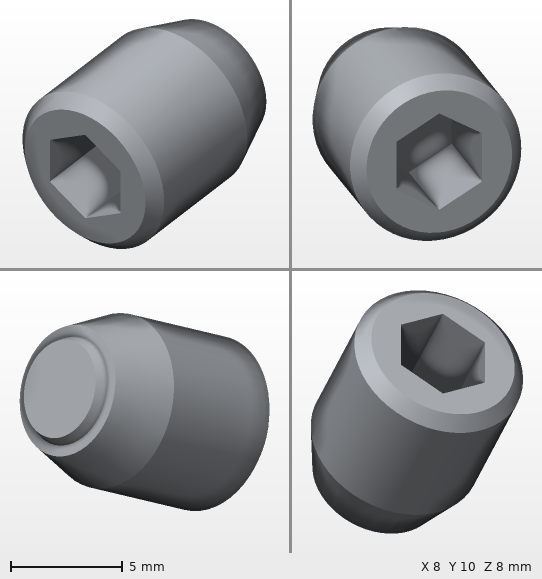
import cadquery as cq
import math

total_length = 10.0
body_diameter = 8.0
drive_chamfer = 0.6

taper_end_diameter = 6.0
taper_angle = 20.0
tip_projection = 0.5

hex_across_flats = 4.0
hex_depth = 5.0

tip_diameter = 5.0
tip_end_diameter = 4.5
tip_seat_depth = 2.0

body_radius = body_diameter / 2
taper_end_radius = taper_end_diameter / 2
tip_radius = tip_diameter / 2
tip_end_radius = tip_end_diameter / 2

body_length = total_length - tip_projection
taper_length = (body_radius - taper_end_radius) / math.tan(math.radians(taper_angle))
taper_start = body_length - taper_length
seat_floor = body_length - tip_seat_depth


def revolve_about_y(profile_points):
    """Turn a closed (radius, Y) profile a full circle about the Y axis."""
    return cq.Workplane("XY").polyline(profile_points).close().revolve(360, (0, 0), (0, 1))


def make_hex_socket():
    """Hexagonal prism from the drive face inward, with two corners pointing along Z."""
    hex_across_corners = hex_across_flats / math.cos(math.radians(30))
    return (
        cq.Workplane("XZ")
        .transformed(rotate=(0, 0, 90))
        .polygon(6, hex_across_corners)
        .extrude(-hex_depth)
    )


def make_screw_body():
    """Chamfered, tapered cylinder with a drive socket and a round seat for the tip."""
    outline = [
        (0, 0),
        (body_radius - drive_chamfer, 0),
        (body_radius, drive_chamfer),
        (body_radius, taper_start),
        (taper_end_radius, body_length),
        (tip_radius, body_length),
        (tip_radius, seat_floor),
        (0, seat_floor),
    ]
    return revolve_about_y(outline).cut(make_hex_socket())


def make_tip():
    """Round insert that fills the seat and narrows where it projects from the screw."""
    outline = [
        (0, seat_floor),
        (tip_radius, seat_floor),
        (tip_radius, body_length),
        (tip_end_radius, total_length),
        (0, total_length),
    ]
    return revolve_about_y(outline)


screw_body = make_screw_body()
tip = make_tip()

result = cq.Compound.makeCompound([screw_body.val(), tip.val()])